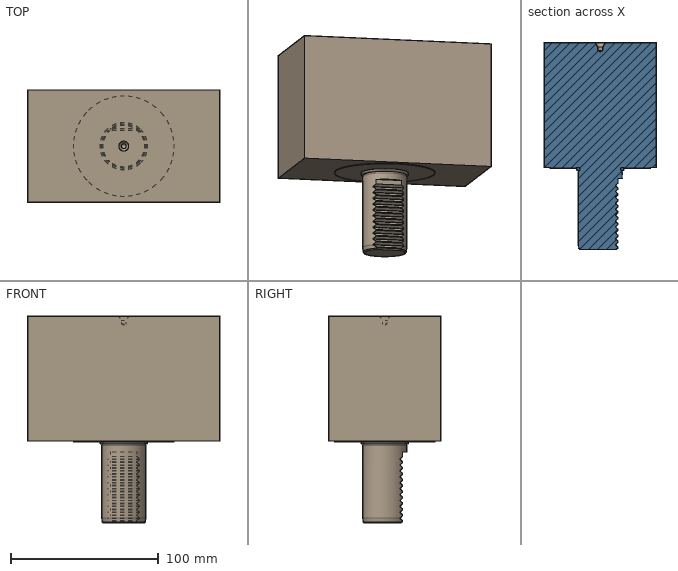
import cadquery as cq
import math


block_length = 130.0
block_width = 76.0
block_top = 85.0
face_diameter = 68.0
face_height = 0.5

shank_diameter = 30.0
shank_radius = shank_diameter / 2
overall_height = 140
shank_length = overall_height - block_top
relief_length = 2.7
relief_angle = 10
lead_length = 3.4
lead_reduction = 0.35
end_chamfer_length = 0.8
end_chamfer_reduction = 0.5

flat_distance = 12.0
flat_start = 7.0
first_root_depth = 11.8
last_root_depth = 55.7
groove_count = 12
tooth_pitch = (last_root_depth - first_root_depth) / (groove_count - 1)
tooth_depth = 1.5
root_flat = 0.3

center_mouth_diameter = 6.7
center_pilot_diameter = 3.2
center_cone_angle = 60
center_pilot_length = 2.1
drill_point_angle = 120

ring_section_radius = 1.05
ring_outer_radius = 16.1
ring_depth = 0.5


def make_block():
    """Block with the thin round contact face standing below it."""
    block = cq.Workplane("XY").workplane(offset=face_height).rect(block_length, block_width)
    block = block.extrude(block_top - face_height)
    contact_face = cq.Workplane("XY").circle(face_diameter / 2).extrude(face_height)
    return block.union(contact_face)


def make_shank():
    """Turned shank, relieved under the contact face and tapered at its lower end."""
    neck_radius = shank_radius - relief_length * math.tan(math.radians(relief_angle))
    lead_radius = shank_radius - lead_reduction
    end_radius = lead_radius - end_chamfer_reduction
    lead_bottom = -shank_length + end_chamfer_length
    profile = [
        (0, face_height),
        (neck_radius, face_height),
        (neck_radius, 0),
        (shank_radius, -relief_length),
        (shank_radius, -shank_length + lead_length),
        (lead_radius, lead_bottom),
        (end_radius, -shank_length),
        (0, -shank_length),
    ]
    return cq.Workplane("XZ").polyline(profile).close().revolve(360, (0, 0), (0, 1))


def make_rack_cutter():
    """Everything removed from the shank to leave its flat and the tooth grooves."""
    flat_height = shank_length - flat_start
    root_distance = flat_distance - tooth_depth
    mouth_half_width = root_flat / 2 + tooth_depth
    cutter = cq.Workplane("XY").box(
        shank_diameter, shank_radius, flat_height, centered=(True, False, False)
    ).translate((0, flat_distance, -shank_length))
    for index in range(groove_count):
        root_z = -first_root_depth - index * tooth_pitch
        groove = (
            cq.Workplane("YZ")
            .polyline([
                (root_distance, root_z + root_flat / 2),
                (flat_distance, root_z + mouth_half_width),
                (flat_distance, root_z - mouth_half_width),
                (root_distance, root_z - root_flat / 2),
            ])
            .close()
            .extrude(shank_radius, both=True)
        )
        cutter = cutter.union(groove)
    return cutter


def make_center_hole():
    """Conical mouth, short pilot bore and drill point."""
    mouth_radius = center_mouth_diameter / 2
    pilot_radius = center_pilot_diameter / 2
    cone_depth = (mouth_radius - pilot_radius) / math.tan(math.radians(center_cone_angle / 2))
    point_depth = pilot_radius / math.tan(math.radians(drill_point_angle / 2))
    pilot_top = block_top - cone_depth
    pilot_bottom = pilot_top - center_pilot_length
    profile = [
        (0, block_top),
        (mouth_radius, block_top),
        (pilot_radius, pilot_top),
        (pilot_radius, pilot_bottom),
        (0, pilot_bottom - point_depth),
    ]
    return cq.Workplane("XZ").polyline(profile).close().revolve(360, (0, 0), (0, 1))


def make_sealing_ring():
    """Round-section ring around the top of the shank."""
    section_center = (ring_outer_radius - ring_section_radius, -ring_depth)
    section = cq.Workplane("XZ").moveTo(*section_center).circle(ring_section_radius)
    return section.revolve(360, (0, 0), (0, 1))


def make_holder(sealing_ring):
    """Block and shank in one piece, with a seat that fits the sealing ring."""
    shank = make_shank().cut(make_rack_cutter())
    return make_block().union(shank).cut(make_center_hole()).cut(sealing_ring)


sealing_ring = make_sealing_ring()
holder = make_holder(sealing_ring)

result = cq.Compound.makeCompound([holder.solids().val(), sealing_ring.val()])